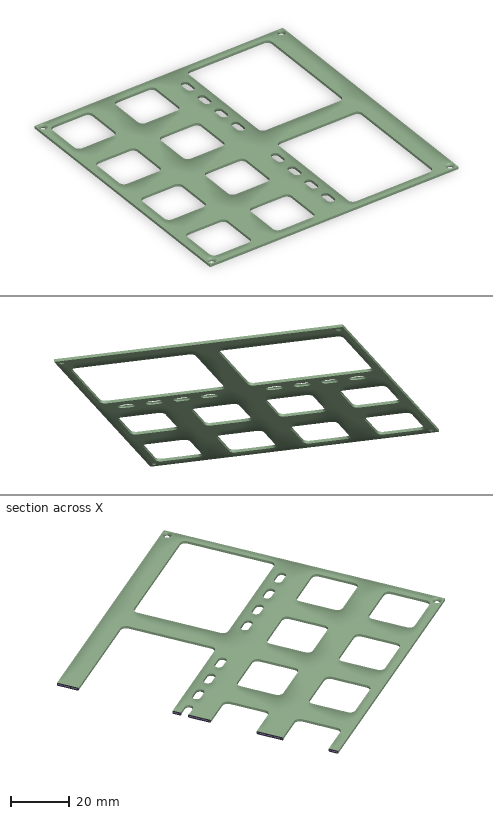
import cadquery as cq

PLATE_SIDE = 104.35
PLATE_THICKNESS = 1.0

SCREW_SPACING = 100.2
SCREW_DIAMETER = 1.75
COUNTERSINK_DIAMETER = 3.25
COUNTERSINK_ANGLE = 90.0

GRID_PITCH = 26.75
GRID_COUNT = 4
WINDOW_CORNER_RADIUS = 2.0

KEY_WINDOW_SIDE = 17.0
KEY_ROW_COUNT = 2

DISPLAY_WIDTH = 45.0
DISPLAY_HEIGHT = 34.9
DISPLAY_CENTRES_X = [-GRID_PITCH, GRID_PITCH]
DISPLAY_CENTRE_Y = GRID_PITCH

SLOT_LENGTH = 6.0
SLOT_WIDTH = 3.0
SLOT_PITCH = 10.0
SLOT_COUNT = 4
SLOT_CENTRE_Y = 4.8


def centred_positions(count, pitch):
    """Evenly spaced positions, symmetric about zero, in rising order."""
    return [(index - (count - 1) / 2) * pitch for index in range(count)]


def make_plate():
    return cq.Workplane("XY").box(
        PLATE_SIDE, PLATE_SIDE, PLATE_THICKNESS, centered=(True, True, False)
    )


def drill_screw_holes(plate):
    return (
        plate.faces(">Z")
        .workplane()
        .rect(SCREW_SPACING, SCREW_SPACING, forConstruction=True)
        .vertices()
        .cskHole(SCREW_DIAMETER, COUNTERSINK_DIAMETER, COUNTERSINK_ANGLE)
    )


def make_windows(width, height, centres):
    """Rounded rectangular cutters through the plate thickness."""
    return (
        cq.Workplane("XY")
        .pushPoints(centres)
        .rect(width, height)
        .extrude(PLATE_THICKNESS)
        .edges("|Z")
        .fillet(WINDOW_CORNER_RADIUS)
    )


def make_display_windows():
    centres = [(x, DISPLAY_CENTRE_Y) for x in DISPLAY_CENTRES_X]
    return make_windows(DISPLAY_WIDTH, DISPLAY_HEIGHT, centres)


def make_key_windows():
    columns = centred_positions(GRID_COUNT, GRID_PITCH)
    rows = columns[:KEY_ROW_COUNT]
    centres = [(x, y) for x in columns for y in rows]
    return make_windows(KEY_WINDOW_SIDE, KEY_WINDOW_SIDE, centres)


def make_slots():
    offsets = centred_positions(SLOT_COUNT, SLOT_PITCH)
    centres = [(x + offset, SLOT_CENTRE_Y) for x in DISPLAY_CENTRES_X for offset in offsets]
    return (
        cq.Workplane("XY")
        .pushPoints(centres)
        .slot2D(SLOT_LENGTH, SLOT_WIDTH)
        .extrude(PLATE_THICKNESS)
    )


result = drill_screw_holes(make_plate())
result = result.cut(make_display_windows())
result = result.cut(make_key_windows())
result = result.cut(make_slots())